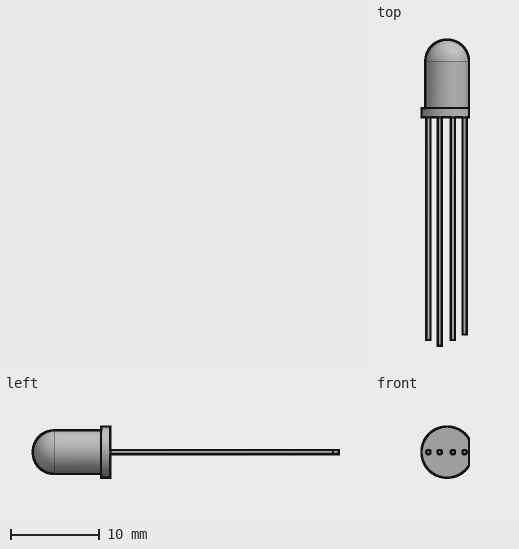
import cadquery as cq

total_length = 34.6
body_radius = 2.5
flange_radius = 2.9
flange_thickness = 1.05
flat_offset = body_radius
body_height = 8.8

lead_radius = 0.25
longest_lead = total_length - body_height
outer_lead_length = longest_lead - 0.65
short_lead_length = longest_lead - 1.28
leads = [
    (-2.1, outer_lead_length),
    (-0.83, longest_lead),
    (0.65, outer_lead_length),
    (1.97, short_lead_length),
]


def make_lens():
    """Cylinder closed by a hemispherical dome, revolved about the Y axis."""
    shoulder = body_height - body_radius
    arc_offset = body_radius * 0.5 ** 0.5
    return (
        cq.Workplane("XY")
        .lineTo(body_radius, 0)
        .lineTo(body_radius, shoulder)
        .threePointArc((arc_offset, shoulder + arc_offset), (0, body_height))
        .close()
        .revolve(360, (0, 0, 0), (0, 1, 0))
    )


def make_flange():
    """Round flange cut flat on its +X side."""
    disc = cq.Workplane("XZ").circle(flange_radius).extrude(-flange_thickness)
    keep_width = flange_radius + flat_offset
    keep = (
        cq.Workplane("XZ")
        .center(flat_offset - keep_width / 2, 0)
        .rect(keep_width, 2 * flange_radius)
        .extrude(-flange_thickness)
    )
    return disc.intersect(keep)


def make_lead(x, length):
    """Straight round wire hanging from the flange toward -Y."""
    return cq.Workplane("XZ").center(x, 0).circle(lead_radius).extrude(length)


result = make_lens().union(make_flange())
for lead_x, lead_length in leads:
    result = result.union(make_lead(lead_x, lead_length))